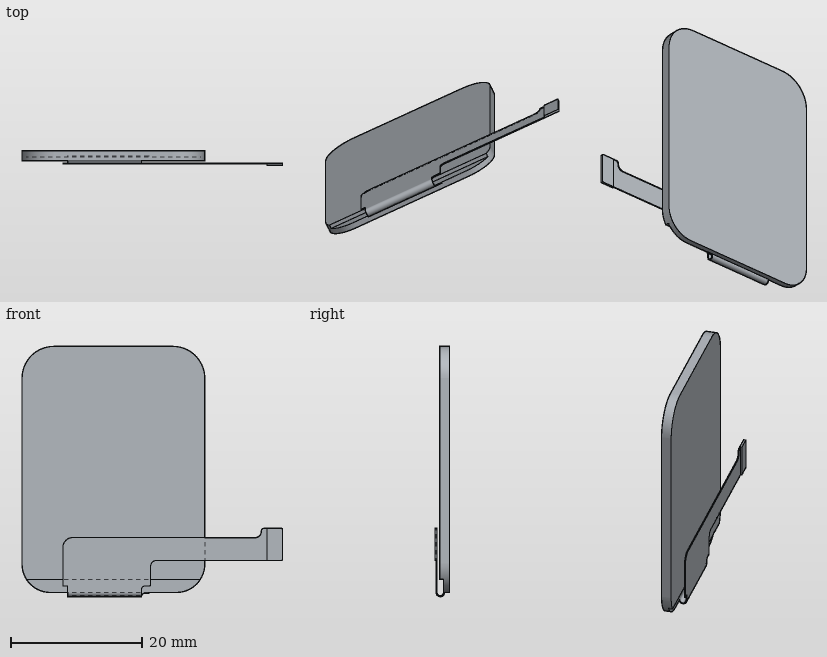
import cadquery as cq


plate_width = 27.9
plate_height = 37.57
plate_thickness = 1.55
top_corner_radius = 4.9
bottom_corner_radius = 4.37
ledge_thickness = 0.95
ledge_height = 2.03

strip_thickness = 0.15
bend_outer_radius = 0.65
bend_inner_radius = bend_outer_radius - strip_thickness
bend_depth = ledge_thickness + bend_inner_radius
strip_front_depth = bend_depth + bend_outer_radius

body_left = 6.25
body_right = 19.65
neck_left = 6.95
neck_right = 18.25
shoulder_height = 1.0
body_corner_radius = 1.5
shoulder_outer_radius = 0.25
shoulder_inner_radius = 0.48
arm_bottom = 4.9
arm_top = 8.4
arm_inner_radius = 0.85
head_left = 36.5
head_top = 9.82
head_outer_radius = 0.45
head_inner_radius = 0.95
tip_radius = 0.2
strip_right = 39.75

pad_left = 37.37
pad_front_depth = 2.25

foot_right = 19.35
foot_bottom = -0.1
foot_inner_radius = 0.48


def plate():
    body = cq.Workplane("XZ").rect(plate_width, plate_height, centered=False).extrude(plate_thickness)
    body = body.edges("|Y and >Z").fillet(top_corner_radius)
    body = body.edges("|Y and <Z").fillet(bottom_corner_radius)
    ledge_cut = (
        cq.Workplane("XZ", origin=(0, -ledge_thickness, 0))
        .rect(plate_width, ledge_height, centered=False)
        .extrude(plate_thickness - ledge_thickness)
    )
    return body.cut(ledge_cut)


def folded_sheet():
    """J-shaped sheet, wide enough to be trimmed to the strip's outlines."""
    back_outer = -(bend_depth - bend_outer_radius)
    back_inner = -ledge_thickness
    front_inner = -(bend_depth + bend_inner_radius)
    front_outer = -strip_front_depth
    return (
        cq.Workplane("YZ")
        .moveTo(back_outer, ledge_height)
        .lineTo(back_outer, 0)
        .threePointArc((-bend_depth, -bend_outer_radius), (front_outer, 0))
        .lineTo(front_outer, head_top)
        .lineTo(front_inner, head_top)
        .lineTo(front_inner, 0)
        .threePointArc((-bend_depth, -bend_inner_radius), (back_inner, 0))
        .lineTo(back_inner, ledge_height)
        .close()
        .extrude(strip_right)
    )


def round_corner(body, x, z, radius):
    """Round the edge along Y that passes through (x, z)."""
    reach = 0.005
    box = cq.selectors.BoxSelector(
        (x - reach, -2 * pad_front_depth, z - reach), (x + reach, pad_front_depth, z + reach)
    )
    return body.edges("|Y").edges(box).fillet(radius)


def front_outline():
    """Block holding the front leg's outline, from the bend axis to the pad face."""
    outline = [
        (neck_left, -bend_outer_radius),
        (neck_right, -bend_outer_radius),
        (neck_right, shoulder_height),
        (body_right, shoulder_height),
        (body_right, arm_bottom),
        (strip_right, arm_bottom),
        (strip_right, head_top),
        (head_left, head_top),
        (head_left, arm_top),
        (body_left, arm_top),
        (body_left, shoulder_height),
        (neck_left, shoulder_height),
    ]
    body = (
        cq.Workplane("XZ", origin=(0, -bend_depth, 0))
        .polyline(outline)
        .close()
        .extrude(pad_front_depth - bend_depth)
    )
    corners = [
        (neck_right, shoulder_height, shoulder_inner_radius),
        (body_right, shoulder_height, shoulder_outer_radius),
        (body_right, arm_bottom, arm_inner_radius),
        (strip_right, arm_bottom, tip_radius),
        (strip_right, head_top, tip_radius),
        (head_left, head_top, head_outer_radius),
        (head_left, arm_top, head_inner_radius),
        (body_left, arm_top, body_corner_radius),
    ]
    for x, z, radius in corners:
        body = round_corner(body, x, z, radius)
    return body


def back_outline():
    """Block holding the back leg's outline, from the plate's back to the bend axis."""
    outline = [
        (neck_left, -bend_outer_radius),
        (neck_right, -bend_outer_radius),
        (neck_right, foot_bottom),
        (foot_right, foot_bottom),
        (foot_right, ledge_height),
        (neck_left, ledge_height),
    ]
    body = cq.Workplane("XZ").polyline(outline).close().extrude(bend_depth)
    return round_corner(body, neck_right, foot_bottom, foot_inner_radius)


def contact_pad():
    slab = (
        cq.Workplane("XZ", origin=(pad_left, -strip_front_depth, arm_bottom))
        .rect(strip_right - pad_left, head_top - arm_bottom, centered=False)
        .extrude(pad_front_depth - strip_front_depth)
    )
    return slab.intersect(front_outline())


sheet = folded_sheet()
front_leg = sheet.intersect(front_outline())
back_leg = sheet.intersect(back_outline())
result = plate().union(back_leg).union(front_leg).union(contact_pad())